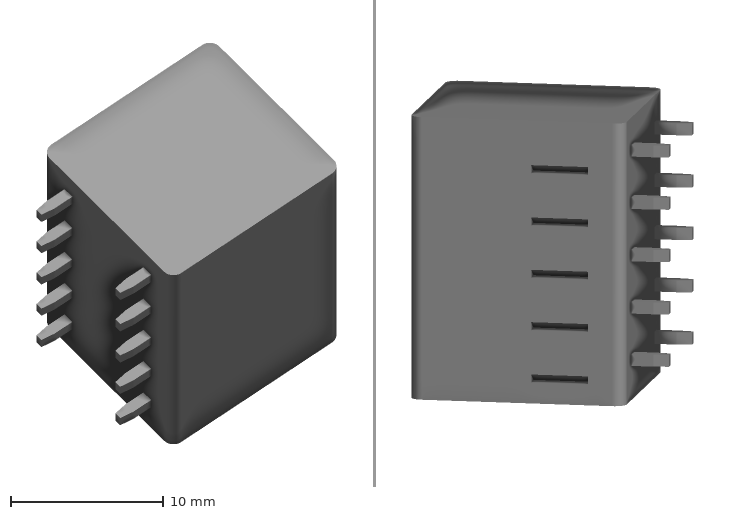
import cadquery as cq

body_width = 13.5
body_depth = 14.4
body_height = 18.9
corner_radius = 0.8

row_count = 5
row_pitch = 3.5

pin_length = 2.5
pin_straight_length = 1.5
pin_size = 0.8
pin_tip_width = 0.5
pin_column_xs = (-4.0, 4.2)
pin_middle_z = 0.25

vent_length = 3.8
vent_height = 0.55
vent_depth = 0.8
vent_end_height = 0.05
vent_front_setback = 2.45
vent_middle_z = -0.79

front_y = -body_depth / 2
side_x = -body_width / 2


def row_heights(middle_z):
    return [middle_z + (row - (row_count - 1) / 2) * row_pitch for row in range(row_count)]


def make_body():
    block = cq.Workplane("XY").box(body_width, body_depth, body_height)
    return block.edges("|Z").fillet(corner_radius)


def make_pin(x, z):
    shoulder_y = front_y - pin_straight_length
    tip_y = front_y - pin_length
    return (
        cq.Workplane("XY", origin=(x, 0, z - pin_size / 2))
        .moveTo(-pin_size / 2, front_y)
        .lineTo(-pin_size / 2, shoulder_y)
        .lineTo(-pin_tip_width / 2, tip_y)
        .lineTo(pin_tip_width / 2, tip_y)
        .lineTo(pin_size / 2, shoulder_y)
        .lineTo(pin_size / 2, front_y)
        .close()
        .extrude(pin_size)
    )


def make_vent(z):
    bottom_z = -vent_height / 2
    top_z = vent_height / 2
    rear_y = front_y + vent_front_setback + vent_length
    return (
        cq.Workplane("XZ", origin=(side_x, rear_y, z))
        .moveTo(0, bottom_z)
        .lineTo(vent_depth, bottom_z)
        .lineTo(vent_depth, bottom_z + vent_end_height)
        .lineTo(0, top_z)
        .close()
        .extrude(vent_length)
    )


result = make_body()
for pin_z in row_heights(pin_middle_z):
    for pin_x in pin_column_xs:
        result = result.union(make_pin(pin_x, pin_z))
for vent_z in row_heights(vent_middle_z):
    result = result.cut(make_vent(vent_z))